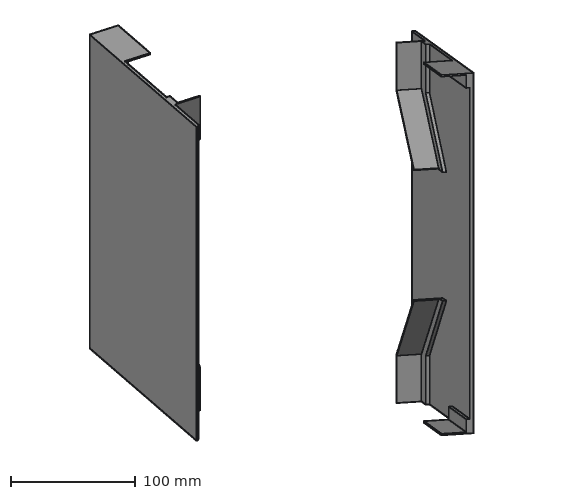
import cadquery as cq
import math

panel_width = 165.1
panel_height = 296.16
panel_thickness = 3.175
panel_edge_chamfer = 2.0

foot_back_y = 2 * panel_thickness
bracket_back_y = 26.99
flange_thickness = 1.4

corner_bracket_length = 49.4
corner_foot_width = 12.0

bent_outer_x = 127.0
flange_bend_depth = 39.0
flange_tip_x = 77.3
flange_tip_depth = 94.0
foot_edge_x = 113.6
foot_bend_depth = 40.0
foot_tip_x = 66.0
foot_tip_depth = 95.25

flange_inner_x = bent_outer_x - flange_thickness
slope_angle = math.atan2(flange_inner_x - flange_tip_x, flange_tip_depth - flange_bend_depth)

outer_bend_depth = flange_bend_depth + flange_thickness * math.tan(slope_angle / 2)
outer_tip_x = flange_tip_x + flange_thickness * math.cos(slope_angle)
outer_tip_depth = flange_tip_depth + flange_thickness * math.sin(slope_angle)


def extrude_back(outline, back_y):
    """Extrude a closed outline of (x, depth) points from mid-panel back to back_y."""
    front_y = panel_thickness / 2
    points = [(x, panel_height - depth) for x, depth in outline]
    profile = cq.Workplane("XZ", origin=(0, front_y, 0)).polyline(points).close()
    return profile.extrude(front_y - back_y)


def make_panel():
    """Flat panel with its back +X edge chamfered."""
    outline = [
        (0, 0),
        (panel_width, 0),
        (panel_width, panel_thickness - panel_edge_chamfer),
        (panel_width - panel_edge_chamfer, panel_thickness),
        (0, panel_thickness),
    ]
    return cq.Workplane("XY").polyline(outline).close().extrude(panel_height)


def make_corner_bracket():
    """Foot strip along the panel's end, with a flange flush with that end."""

    def strip(depth, back_y):
        length = corner_bracket_length
        return extrude_back([(0, 0), (length, 0), (length, depth), (0, depth)], back_y)

    foot = strip(corner_foot_width, foot_back_y)
    flange = strip(flange_thickness, bracket_back_y)
    return foot.union(flange)


def make_bent_bracket():
    """Foot strip and flange that run from the panel's end and bend toward -X."""
    outer_edge = [
        (outer_tip_x, outer_tip_depth),
        (bent_outer_x, outer_bend_depth),
        (bent_outer_x, 0),
    ]
    flange_edge = [
        (flange_inner_x, 0),
        (flange_inner_x, flange_bend_depth),
        (flange_tip_x, flange_tip_depth),
    ]
    foot_edge = [
        (foot_edge_x, 0),
        (foot_edge_x, foot_bend_depth),
        (foot_tip_x, foot_tip_depth),
    ]
    foot = extrude_back(outer_edge + foot_edge, foot_back_y)
    flange = extrude_back(outer_edge + flange_edge, bracket_back_y)
    return foot.union(flange)


top_brackets = make_corner_bracket().union(make_bent_bracket())
bottom_brackets = top_brackets.mirror("XY", (0, 0, panel_height / 2))
result = make_panel().union(top_brackets).union(bottom_brackets).clean()